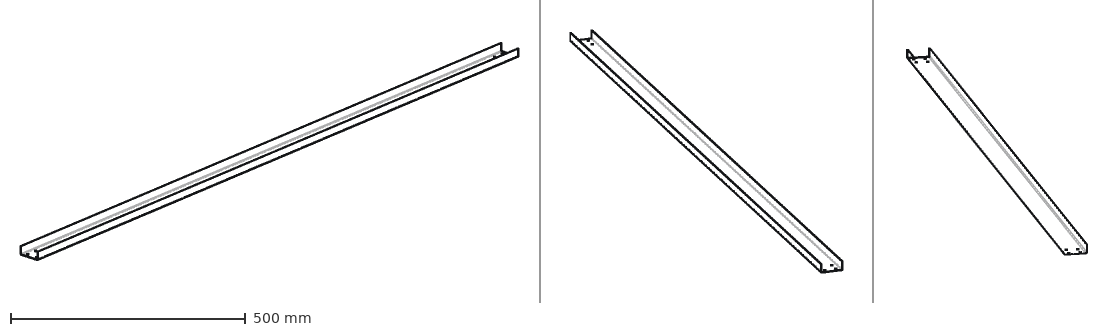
import cadquery as cq

length = 1550.0
width = 50.0
height = 20.0

wall = 2.0
inner_bend_radius = 1.0
outer_bend_radius = inner_bend_radius + wall

hole_diameter = 4.2
hole_offset_x = 12.5
hole_end_distances = (10.0, 35.0)


def make_channel():
    """U-shaped channel, open upwards, running along Y, with rounded bends."""
    body = cq.Workplane("XY").box(width, length, height, centered=(True, True, False))
    body = body.edges("|Y and <Z").fillet(outer_bend_radius)
    cavity = (
        cq.Workplane("XY")
        .workplane(offset=wall)
        .box(width - 2 * wall, length, height, centered=(True, True, False))
        .edges("|Y and <Z")
        .fillet(inner_bend_radius)
    )
    return body.cut(cavity)


def cut_base_holes(channel):
    """Pairs of screw holes near both ends of the base."""
    centres = [
        (side * hole_offset_x, end * (length / 2 - distance))
        for side in (-1, 1)
        for end in (-1, 1)
        for distance in hole_end_distances
    ]
    drills = cq.Workplane("XY").pushPoints(centres).circle(hole_diameter / 2).extrude(wall)
    return channel.cut(drills)


result = cut_base_holes(make_channel())